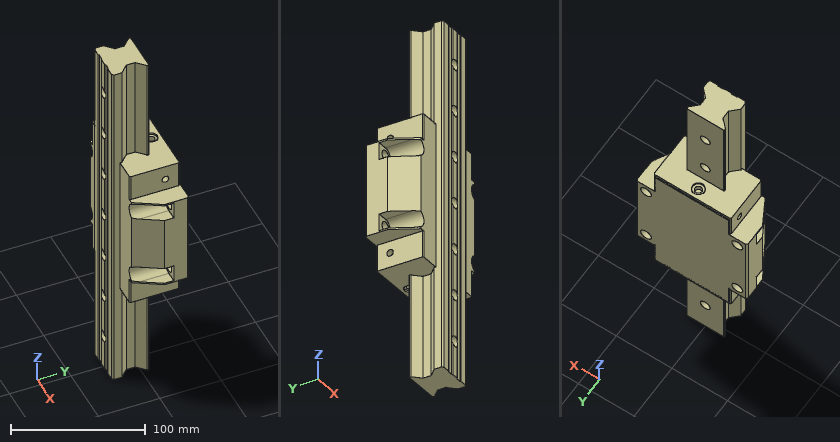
import cadquery as cq


rail_length = 300
rail_width = 34.0
rail_height = 30
neck_width = 20.7
neck_bottom_y = 14.5
neck_top_y = 21.5
rail_flare = (rail_width - neck_width) / 2
foot_chamfer = 1.5
head_chamfer = 0.5
land_width = 6.3
groove_inner_width = 8.0
groove_outer_width = 17.5
groove_depth = 0.5

rail_hole_count = 7
rail_hole_pitch = 40.0
rail_hole_diameter = 8.7

carriage_top_y = 48
carriage_bottom_y = 6.3
block_length = 79.0
block_width = 100.0
block_bottom_width = 76.0
flank_top_y = 28.0
block_top_chamfer = 1.5
cap_length_overall = 124.0
cap_width = 69.3
cap_drop = 1.0
cap_chamfer = 1.0
pad_length = 119.0
pad_width = 66

mount_spacing_x = 82.0
mount_spacing_z = 61.8
mount_hole_diameter = 9.5
pocket_width = 14.5
pocket_floor_y = 35.5

end_port_y = 39
end_port_diameter = 6
end_port_recess_diameter = 10.2
end_port_depth = 6
end_port_recess_depth = 1.5
side_port_y = 35.5
side_port_z = 49.5
side_port_diameter = 5.5
side_port_depth = 6


def mirrored_prism(right_side, length):
    """Extrude a profile symmetric about X = 0, centred on Z = 0, from its +X half, listed from foot to top."""
    left_side = [(-x, y) for x, y in reversed(right_side)]
    return cq.Workplane("XY").polyline(right_side + left_side).close().extrude(length / 2, both=True)


def centred_box(width, length, bottom_y, top_y):
    return cq.Workplane("XY").box(width, top_y - bottom_y, length).translate((0, (bottom_y + top_y) / 2, 0))


def rail_outline():
    """+X half of the rail section, from foot to head."""
    return [
        (land_width / 2, 0),
        (groove_inner_width / 2, groove_depth),
        (groove_outer_width / 2 - groove_depth, groove_depth),
        (groove_outer_width / 2, 0),
        (rail_width / 2 - foot_chamfer, 0),
        (rail_width / 2, foot_chamfer),
        (rail_width / 2, neck_bottom_y - rail_flare),
        (neck_width / 2, neck_bottom_y),
        (neck_width / 2, neck_top_y),
        (rail_width / 2, neck_top_y + rail_flare),
        (rail_width / 2, rail_height - head_chamfer),
        (rail_width / 2 - head_chamfer, rail_height),
    ]


def make_rail():
    rail = mirrored_prism(rail_outline(), rail_length)
    holes = (
        cq.Workplane("XZ", origin=(0, rail_height, 0))
        .rarray(3, rail_hole_pitch, 1, rail_hole_count)
        .circle(rail_hole_diameter / 2)
        .extrude(rail_height)
    )
    return rail.cut(holes)


def make_block():
    """Central part of the carriage, with flanges that taper toward the foot."""
    return mirrored_prism(
        [
            (block_bottom_width / 2, carriage_bottom_y),
            (block_width / 2, flank_top_y),
            (block_width / 2, carriage_top_y - block_top_chamfer),
            (block_width / 2 - block_top_chamfer, carriage_top_y),
        ],
        block_length,
    )


def make_caps():
    """Narrower full-length part whose ends stand out beyond the block."""
    caps = centred_box(cap_width, cap_length_overall, carriage_bottom_y, carriage_top_y - cap_drop)
    return caps.edges("|Z").chamfer(cap_chamfer)


def make_pad():
    """Low pad on the caps, level with the top face of the block."""
    return centred_box(pad_width, pad_length, carriage_top_y - cap_drop, carriage_top_y)


def make_carriage():
    carriage = make_block().union(make_caps()).union(make_pad())

    carriage = carriage.cut(mirrored_prism(rail_outline(), rail_length))

    for side in (-1, 1):
        for end in (-1, 1):
            x = side * mount_spacing_x / 2
            z = end * mount_spacing_z / 2
            seat = cq.Workplane("XZ", origin=(x, pocket_floor_y, z))
            depth = pocket_floor_y - carriage_bottom_y
            round_end = seat.circle(pocket_width / 2).extrude(depth)
            mouth = seat.center(side * pocket_width / 2, 0).rect(pocket_width, pocket_width).extrude(depth)
            hole = seat.circle(mount_hole_diameter / 2).extrude(-carriage_top_y)
            carriage = carriage.cut(round_end).cut(mouth).cut(hole)

    for end in (-1, 1):
        port = cq.Workplane("XY", origin=(0, end_port_y, end * cap_length_overall / 2))
        bore = port.circle(end_port_diameter / 2).extrude(-end * end_port_depth)
        recess = port.circle(end_port_recess_diameter / 2).extrude(-end * end_port_recess_depth)
        carriage = carriage.cut(bore).cut(recess)

    for side in (-1, 1):
        for end in (-1, 1):
            port = cq.Workplane("YZ", origin=(side * cap_width / 2, side_port_y, end * side_port_z))
            bore = port.circle(side_port_diameter / 2).extrude(-side * side_port_depth)
            carriage = carriage.cut(bore)
    return carriage


rail = make_rail()
carriage = make_carriage()
result = cq.Compound.makeCompound([rail.val(), carriage.val()])